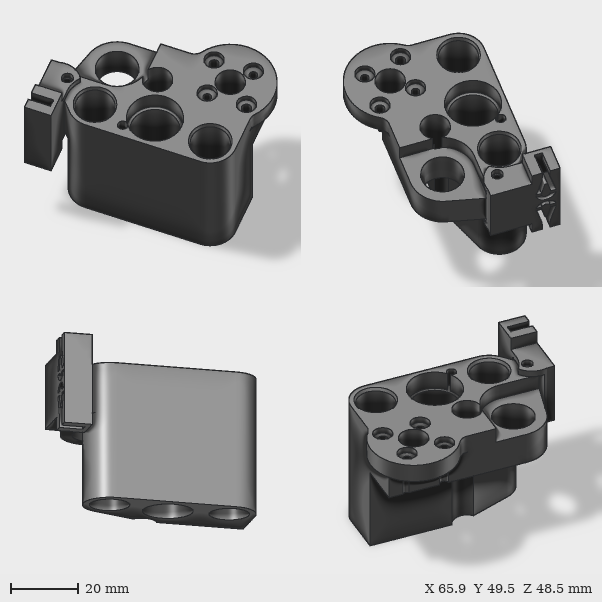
import cadquery as cq
import math


overcut = 0.65

motor_block_top = 26.7
lobe_bottom = 36.0
pocket_floor = 37.0
housing_top = 41.9
plate_thickness = housing_top - motor_block_top
lobe_thickness = housing_top - lobe_bottom

side_bore_x = 18.45
side_bore_y = -1.85
left_bore = (-side_bore_x, side_bore_y)
right_bore = (side_bore_x, side_bore_y)
idler = (-side_bore_x, 16.1)
shaft_hole = (-4.5, 13.5)
lobe = (16.0, 20.55)
index_hole = (-8.0, -5.9)
hinge = (-29.0, 2.5)

corner_radius = 8.05
idler_corner_radius = 10.0
knuckle_radius = 3.0
lobe_radius = 14.0
neck_fillet = 3.75
motor_block_back = 12.2
motor_block_corner_x = -3.3
housing_right = side_bore_x + corner_radius
housing_back = idler[1] + idler_corner_radius

main_bore_diameter = 15.0
main_counterbore_diameter = 17.0
main_counterbore_depth = lobe_thickness
side_bore_diameter = 12.0
side_bore_mouth_diameter = 13.0
side_bore_mouth_depth = 1.0
idler_diameter = 13.0
shaft_diameter = 9.0
index_diameter = 3.0
index_depth = main_counterbore_depth
pin_diameter = 3.0
screw_head_diameter = 6.0
screw_head_depth = 2.0
screw_angle = 52
screw_pairs = [(2.5, 8.0, screw_angle), (3.0, 9.5, screw_angle + 90)]

clip_left = -35.9
clip_front = -14.95
clip_back = 7.0
clip_middle_z = 34.5
head_height = 27.95
head_back = -6.0
arm_height = 19.8
block_clearance_radius = 8.9
clip_right = left_bore[0] - block_clearance_radius
ear_centre = (-31.5, 0.0)
ear_radius = 7.25
ear_tip_fillet = 0.5
ear_hole_diameter = 3.5
hinge_gap_bottom = 26.4
hinge_gap_top = 42.4
hinge_gap_left = hinge[0] - 3.4
hinge_gap_front = -4.6

channel_y = -10.55
channel_depth = 7.1
throat_half_width = 1.25
flare_start = 10.8
flare_bend_radius = 6.6
fork_end = 3.95
fork_half_width = 3.15
wedge_half_width = 1.45
wedge_shoulder = 7.6
wedge_shoulder_half_width = 0.5
wedge_tip = 8.1
crescent_end = 2.8
crescent_peak = 0.4
crescent_half_width = 3.1
crescent_notch_half_width = 1.3
crescent_notch_peak = 2.0


def polar(centre, radius, angle):
    """Point at a distance and an angle (radians) from a centre."""
    return (centre[0] + radius * math.cos(angle), centre[1] + radius * math.sin(angle))


def belt_outline(rounds, base_z):
    """Outline stretched round (centre, radius) pins, listed counterclockwise; radius 0 is a sharp corner."""
    normals = []
    for (start, start_radius), (end, end_radius) in zip(rounds, rounds[1:] + rounds[:1]):
        heading = math.atan2(end[1] - start[1], end[0] - start[0])
        lean = math.acos((start_radius - end_radius) / math.dist(start, end))
        normals.append(heading - lean)

    first_centre, first_radius = rounds[0]
    sketch = cq.Workplane("XY", origin=(0, 0, base_z)).moveTo(*polar(first_centre, first_radius, normals[0]))
    for index in range(1, len(rounds)):
        centre, radius = rounds[index]
        sketch = add_round(sketch, centre, radius, normals[index - 1], normals[index])
    return add_round(sketch, first_centre, first_radius, normals[-1], normals[0]).close()


def add_round(sketch, centre, radius, enter_angle, leave_angle):
    """Straight line to a pin, then the arc round it."""
    sketch = sketch.lineTo(*polar(centre, radius, enter_angle))
    if radius == 0:
        return sketch
    sweep = (leave_angle - enter_angle) % (2 * math.pi)
    middle = polar(centre, radius, enter_angle + sweep / 2)
    return sketch.threePointArc(middle, polar(centre, radius, leave_angle))


def cylinder(centre, diameter, bottom, top):
    return cq.Workplane("XY", origin=(*centre, bottom)).circle(diameter / 2).extrude(top - bottom)


def box(x_range, y_range, z_range):
    size = [high - low for low, high in (x_range, y_range, z_range)]
    return cq.Workplane("XY", origin=(x_range[0], y_range[0], z_range[0])).box(*size, centered=False)


def plate_outline(base_z):
    return belt_outline(
        [
            (right_bore, corner_radius),
            ((housing_right, housing_back), 0),
            (idler, idler_corner_radius),
            (hinge, knuckle_radius),
            (left_bore, corner_radius),
        ],
        base_z,
    )


def make_motor_block():
    outline = belt_outline(
        [
            (right_bore, corner_radius),
            ((housing_right, motor_block_back), 0),
            ((motor_block_corner_x, motor_block_back), 0),
            (left_bore, corner_radius),
        ],
        0,
    )
    return outline.extrude(motor_block_top)


def make_lobe_layer():
    """Top layer of the plate, with the round lobe blended into its back and right edges."""
    layer = plate_outline(lobe_bottom).extrude(lobe_thickness)
    layer = layer.union(cylinder(lobe, 2 * lobe_radius, lobe_bottom, housing_top))
    rise = housing_back - lobe[1]
    reach = housing_right - lobe[0]
    back_neck_x = lobe[0] - math.sqrt(lobe_radius**2 - rise**2)
    right_neck_y = lobe[1] - math.sqrt(lobe_radius**2 - reach**2)
    middle_z = (lobe_bottom + housing_top) / 2
    for neck in ((back_neck_x, housing_back, middle_z), (housing_right, right_neck_y, middle_z)):
        layer = layer.edges("|Z").edges(cq.NearestToPointSelector(neck)).fillet(neck_fillet)
    return layer


def make_idler_pocket():
    """Lowered corner round the idler hole, open to the back and the left."""
    x_range = (clip_left, idler[0] + idler_corner_radius)
    y_range = (idler[1] - idler_corner_radius, housing_back + overcut)
    pocket = box(x_range, y_range, (pocket_floor, housing_top + overcut))
    return pocket.edges("|Z and >X and <Y").fillet(idler_corner_radius)


def cut_gear_bores(body):
    body = body.cut(cylinder((0, 0), main_bore_diameter, 0, housing_top))
    counterbore_floor = housing_top - main_counterbore_depth
    body = body.cut(cylinder((0, 0), main_counterbore_diameter, counterbore_floor, housing_top))
    for centre in (left_bore, right_bore):
        bore = cylinder(centre, side_bore_diameter, 0, housing_top)
        mouth = cq.Solid.makeCone(
            side_bore_diameter / 2,
            side_bore_mouth_diameter / 2,
            side_bore_mouth_depth,
            cq.Vector(*centre, housing_top - side_bore_mouth_depth),
        )
        body = body.cut(bore).cut(cq.Workplane(mouth))
    return body


def cut_plain_holes(body):
    through_holes = [
        (idler, idler_diameter),
        (shaft_hole, shaft_diameter),
        (lobe, shaft_diameter),
        (hinge, pin_diameter),
    ]
    for centre, diameter in through_holes:
        body = body.cut(cylinder(centre, diameter, 0, housing_top))
    return body.cut(cylinder(index_hole, index_diameter, housing_top - index_depth, housing_top))


def cut_lobe_screws(body):
    for diameter, distance, angle in screw_pairs:
        for turn in (0, 180):
            centre = polar(lobe, distance, math.radians(angle + turn))
            body = body.cut(cylinder(centre, diameter, 0, housing_top))
            body = body.cut(cylinder(centre, screw_head_diameter, housing_top - screw_head_depth, housing_top))
    return body


def make_housing():
    body = plate_outline(motor_block_top).extrude(plate_thickness)
    body = body.union(make_motor_block()).union(make_lobe_layer())
    body = body.cut(make_idler_pocket())
    return cut_lobe_screws(cut_plain_holes(cut_gear_bores(body)))


def fork_channel():
    """Belt throat that splits in two round a wedge, for the upper half of the clip."""
    channel = (
        clip_face()
        .moveTo(-throat_half_width, head_height / 2)
        .lineTo(-throat_half_width, flare_start)
        .lineTo(-fork_half_width, fork_end)
        .lineTo(-wedge_half_width, fork_end)
        .lineTo(-wedge_shoulder_half_width, wedge_shoulder)
        .threePointArc((0, wedge_tip), (wedge_shoulder_half_width, wedge_shoulder))
        .lineTo(wedge_half_width, fork_end)
        .lineTo(fork_half_width, fork_end)
        .lineTo(throat_half_width, flare_start)
        .lineTo(throat_half_width, head_height / 2)
        .close()
        .extrude(channel_depth)
    )
    for side in (-1, 1):
        bend = (clip_left + channel_depth / 2, channel_y + side * throat_half_width, clip_middle_z + flare_start)
        channel = channel.edges("|X").edges(cq.NearestToPointSelector(bend)).fillet(flare_bend_radius)
    return channel


def crescent_channel():
    return (
        clip_face()
        .moveTo(-crescent_half_width, crescent_end)
        .threePointArc((0, crescent_peak), (crescent_half_width, crescent_end))
        .lineTo(crescent_notch_half_width, crescent_end)
        .threePointArc((0, crescent_notch_peak), (-crescent_notch_half_width, crescent_end))
        .close()
        .extrude(channel_depth)
    )


def clip_face():
    """Sketch plane on the clip's left face: local x runs along Y, local y along Z."""
    return cq.Workplane("YZ", origin=(clip_left, channel_y, clip_middle_z))


def make_ears(z_range):
    """Rounded end of the arm that reaches over the hinge and clears the motor block."""
    ears = cylinder(ear_centre, 2 * ear_radius, *z_range)
    ear_x = (clip_left, ear_centre[0] + ear_radius)
    ear_y = (side_bore_y, ear_centre[1] + ear_radius)
    ears = ears.intersect(box(ear_x, ear_y, z_range))
    ears = ears.cut(cylinder(left_bore, 2 * block_clearance_radius, *z_range))
    return ears.edges("|Z and >X").fillet(ear_tip_fillet)


def make_belt_clip():
    x_range = (clip_left, clip_right)
    arm_z = (clip_middle_z - arm_height / 2, clip_middle_z + arm_height / 2)
    head_z = (clip_middle_z - head_height / 2, clip_middle_z + head_height / 2)
    body = box(x_range, (clip_front, head_back), head_z)
    body = body.union(box(x_range, (head_back, side_bore_y), arm_z))
    body = body.union(box((clip_left, ear_centre[0]), (side_bore_y, clip_back), arm_z))
    body = body.union(make_ears(arm_z))

    gap_x = (hinge_gap_left, left_bore[0])
    gap_y = (hinge_gap_front, ear_centre[1] + ear_radius + overcut)
    body = body.cut(box(gap_x, gap_y, (hinge_gap_bottom, hinge_gap_top)))
    body = body.cut(cylinder(hinge, ear_hole_diameter, *arm_z))

    for channel in (fork_channel(), crescent_channel()):
        mirrored = channel.mirror("XY", (0, 0, clip_middle_z))
        body = body.cut(channel).cut(mirrored)
    return body


housing = make_housing()
belt_clip = make_belt_clip()
result = cq.Compound.makeCompound([housing.solids().val(), belt_clip.solids().val()])